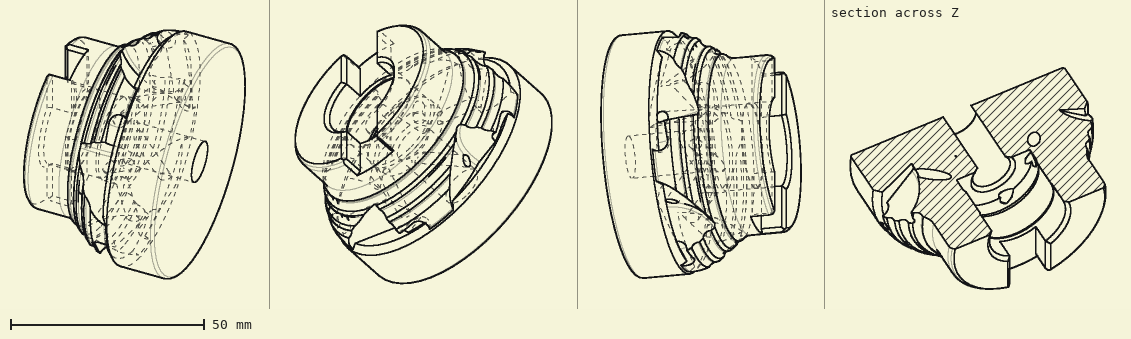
import cadquery as cq
import math

length = 40.0
flange_radius = 31.5
flange_end_fillet = 0.75

hub_radius = 23.0
hub_chamfer = 1.0
hub_edge_rounding = 1.4
hub_end = 10.15
slot_depth = 6.35
slot_half_width = 5.2
slot_chamfer = 1.0

flare_end = (13.15, 24.25)
teeth = [(13.5, 13.85, 24.3), (16.5, 17.05, 26.6), (19.7, 20.15, 29.0)]
root_corners = [(15.5, 25.9), (18.7, 28.2), (21.9, 30.15)]
shoulder_mid = (23.7, 30.8)
shoulder_start = 26.05
shoulder_radius = 31.05

rim_x = 25.3
rim_radius = 29.7
flange_chamfer = flange_radius - rim_radius
dish_angle = 24
body_end = length - flange_end_fillet

entry_radius = 11.1
pilot_radius = 10.95
relief_radius = 11.3
entry_end = 7.4
entry_taper = 0.2
relief_start = 15.5
relief_taper = 0.9
bore_depth = 19.95
screw_hole_radius = 5.5
screw_hole_chamfer = 1.0

flute_count = 5
flute_pitch = 360 / flute_count
tip_x = 15.35
tip_radius = 25.05
flute_floor_radius = 17.7
flute_center = (14.35, 10.2)
flute_reach = 37.8
flute_fillet = 0.9
radial_rake = 19.4
axial_rake = 7.8

notch_radius = 2.7
notch_position = (10.65, 6.05)
notch_length = 5.05
notch_overlap = 3.15

coolant_radius = 1.5
coolant_exit = (26.7, -2.8, 18.25)
coolant_entry = (bore_depth, -6.05, 9.45)
coolant_overlap = 2.5


def revolve_about_x(outline):
    """Revolve a closed X-Y outline around the X axis."""
    return outline.close().revolve(360, (0, 0, 0), (1, 0, 0))


def make_body():
    """Hub and serrated flank, running on into the flange."""
    outline = (
        cq.Workplane("XY")
        .lineTo(0, hub_radius - hub_chamfer)
        .lineTo(hub_chamfer, hub_radius)
        .lineTo(hub_end, hub_radius)
        .tangentArcPoint(flare_end, relative=False)
    )
    for (crest_start, crest_end, crest_radius), corner in zip(teeth, root_corners):
        outline = (
            outline.lineTo(crest_start, crest_radius)
            .lineTo(crest_end, crest_radius)
            .tangentArcPoint(corner, relative=False)
        )
    outline = (
        outline.threePointArc(shoulder_mid, (shoulder_start, shoulder_radius))
        .lineTo(body_end, shoulder_radius)
        .lineTo(body_end, 0)
    )
    body = revolve_about_x(outline)
    hub_edge = cq.selectors.BoxSelector(
        (hub_chamfer / 2, -flange_radius, -flange_radius),
        (hub_chamfer * 2, flange_radius, flange_radius),
        boundingbox=True,
    )
    return body.edges(hub_edge).fillet(hub_edge_rounding)


def make_flange():
    """Chamfered flange with a shallow conical dish in its front face."""
    dish_depth = rim_radius * math.tan(math.radians(dish_angle))
    outline = (
        cq.Workplane("XY", origin=(rim_x + dish_depth, 0, 0))
        .lineTo(-dish_depth, rim_radius)
        .lineTo(flange_chamfer - dish_depth, flange_radius)
        .lineTo(length - rim_x - dish_depth, flange_radius)
        .lineTo(length - rim_x - dish_depth, 0)
    )
    flange = outline.close().revolve(360, (0, 0, 0), (1, 0, 0))
    return flange.edges(">X").fillet(flange_end_fillet)


def make_bore():
    outline = (
        cq.Workplane("XY")
        .lineTo(0, entry_radius + hub_chamfer)
        .lineTo(hub_chamfer, entry_radius)
        .lineTo(entry_end, entry_radius)
        .lineTo(entry_end + entry_taper, pilot_radius)
        .lineTo(relief_start, pilot_radius)
        .lineTo(relief_start + relief_taper, relief_radius)
        .lineTo(bore_depth, relief_radius)
        .lineTo(bore_depth, screw_hole_radius + screw_hole_chamfer)
        .lineTo(bore_depth + screw_hole_chamfer, screw_hole_radius)
        .lineTo(length, screw_hole_radius)
        .lineTo(length, 0)
    )
    return revolve_about_x(outline)


def make_driving_slot():
    """Slot along Z, with chamfers on its front edges and its outer ends."""
    mouth = slot_half_width + slot_chamfer
    front = (
        cq.Workplane("XY")
        .polyline([
            (0, -mouth),
            (slot_chamfer, -slot_half_width),
            (slot_depth, -slot_half_width),
            (slot_depth, slot_half_width),
            (slot_chamfer, slot_half_width),
            (0, mouth),
        ])
        .close()
        .extrude(hub_radius, both=True)
    )
    mouth_z = math.sqrt(hub_radius**2 - mouth**2)
    end_flare = (
        cq.Workplane("YZ")
        .polyline([
            (-slot_half_width, mouth_z - slot_chamfer),
            (slot_half_width, mouth_z - slot_chamfer),
            (mouth, mouth_z),
            (mouth, hub_radius),
            (-mouth, hub_radius),
            (-mouth, mouth_z),
        ])
        .close()
        .extrude(slot_depth)
    )
    return front.union(end_flare).union(end_flare.mirror("XY"))


def make_flute():
    """One flute and its notch, with the flute wall through the +Z side."""
    pocket = (
        cq.Workplane("XZ")
        .center(*flute_center)
        .circle(flute_floor_radius)
        .extrude(flute_reach)
        .faces(">Y")
        .edges()
        .fillet(flute_fillet)
    )
    notch = (
        cq.Workplane("XZ", origin=(0, notch_length, 0))
        .center(*notch_position)
        .circle(notch_radius)
        .extrude(notch_length + notch_overlap)
    )
    notch_end = cq.Workplane("XY").sphere(notch_radius).translate(
        (notch_position[0], notch_length, notch_position[1])
    )
    cutter = pocket.union(notch).union(notch_end)
    cutter = cutter.rotate((0, 0, 0), (0, 0, 1), axial_rake)
    cutter = cutter.rotate((0, 0, 0), (1, 0, 0), -radial_rake)
    return cutter.translate((tip_x, 0, tip_radius))


def make_coolant_hole():
    start = cq.Vector(*coolant_exit)
    path = cq.Vector(*coolant_entry) - start
    direction = path.normalized()
    hole = cq.Solid.makeCylinder(
        coolant_radius,
        path.Length + 2 * coolant_overlap,
        start - direction * coolant_overlap,
        direction,
    )
    return cq.Workplane(hole)


def cut_around(part, cutter):
    """Cut one copy per flute; the first flute's tip lies on +Y."""
    for index in range(flute_count):
        angle = -90 + index * flute_pitch
        part = part.cut(cutter.rotate((0, 0, 0), (1, 0, 0), angle))
    return part


body = cut_around(make_body(), make_flute())
body = body.union(make_flange())
body = body.cut(make_bore()).cut(make_driving_slot())
result = cut_around(body, make_coolant_hole())